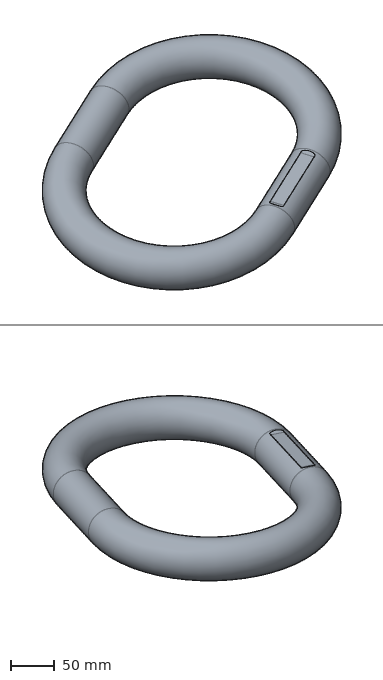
import cadquery as cq

overall_length = 400.0
overall_width = 300.0
bar_diameter = 50.0
bar_radius = bar_diameter / 2
bend_radius = (overall_width - bar_diameter) / 2
straight_length = overall_length - overall_width

recess_width = 17.0
recess_floor_length = 85.5
recess_depth = 2.0
recess_end_radius = 7.0


def oval_link():
    """Sweep the round bar around the closed oval centre line."""
    half_straight = straight_length / 2
    center_line = (
        cq.Workplane("XY")
        .moveTo(bend_radius, -half_straight)
        .lineTo(bend_radius, half_straight)
        .threePointArc((0, half_straight + bend_radius), (-bend_radius, half_straight))
        .lineTo(-bend_radius, -half_straight)
        .threePointArc((0, -half_straight - bend_radius), (bend_radius, -half_straight))
        .close()
    )
    return (
        cq.Workplane("XZ", origin=(bend_radius, -half_straight, 0))
        .circle(bar_radius)
        .sweep(center_line)
    )


def recess_cutter():
    """Straight-sided slot whose end walls curve tangentially into the flat floor."""
    floor_z = bar_radius - recess_depth
    cutter_length = recess_floor_length + 2 * recess_end_radius
    cutter_height = 2 * recess_end_radius
    return (
        cq.Workplane("XY", origin=(bend_radius, 0, floor_z))
        .box(recess_width, cutter_length, cutter_height, centered=(True, True, False))
        .edges("<Z and |X")
        .fillet(recess_end_radius)
    )


result = oval_link().cut(recess_cutter())